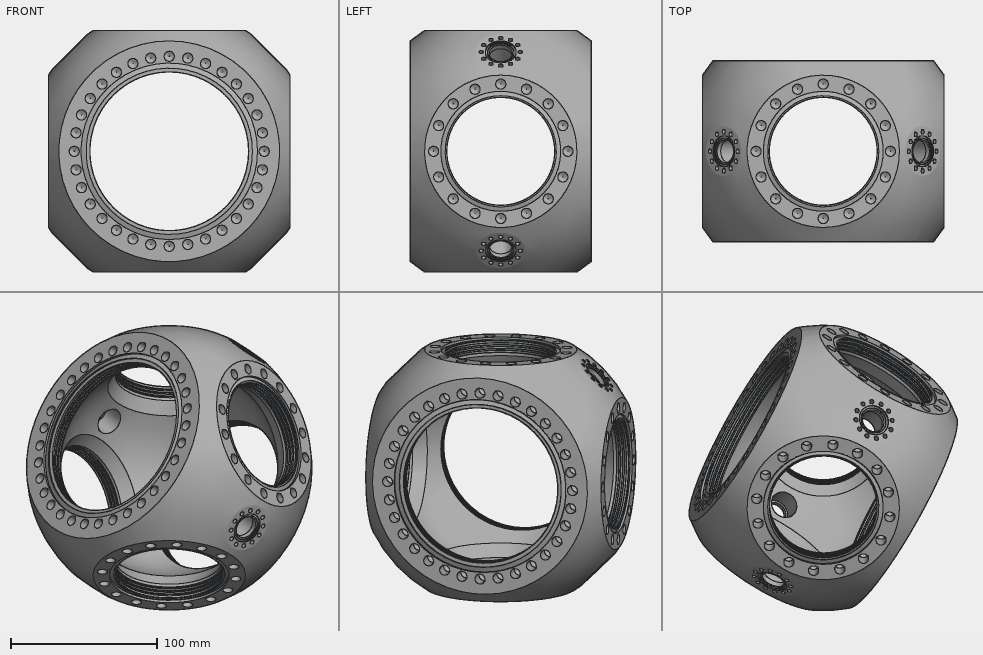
import cadquery as cq
import math


WIDTH = 165.4
THICKNESS = 124.0
OUTER_RADIUS = 97.8
CAVITY_RADIUS = 74.6
MINI_FACE_DISTANCE = 96.3

KNIFE_ANGLE = 20.0
RECESS_DEPTH = 1.8
LAND_DEPTH = 1.7

GROOVE_COUNT = 3
GROOVE_PITCH = 2.6
GROOVE_WIDTH = 1.5
GROOVE_DEPTH = 1.3
FIRST_GROOVE_DEPTH = 3.1

LARGE_RECESS_RADIUS = 60.4
LARGE_KNIFE_RADIUS = 56.9
LARGE_BORE_RADIUS = 54.3
LARGE_BORE_LENGTH = 12.4
LARGE_BOLT_CIRCLE_RADIUS = 65.0
LARGE_BOLT_COUNT = 32

MEDIUM_RECESS_RADIUS = 41.0
MEDIUM_KNIFE_RADIUS = 38.0
MEDIUM_BORE_RADIUS = 36.9
MEDIUM_BORE_LENGTH = 12.0
MEDIUM_FLARE_ANGLE = 30.0
MEDIUM_FLARE_WIDENING = 6.6
MEDIUM_BOLT_CIRCLE_RADIUS = 46.0
MEDIUM_BOLT_COUNT = 16

MINI_RECESS_RADIUS = 10.6
MINI_KNIFE_RADIUS = 9.1
MINI_RECESS_DEPTH = 1.0
MINI_LAND_DEPTH = 1.5
MINI_LIP_RADIUS = 8.0
MINI_LIP_END_DEPTH = 5.0
MINI_BORE_RADIUS = 9.3
MINI_BORE_LENGTH = 23.2
MINI_BOLT_CIRCLE_RADIUS = 13.4
MINI_BOLT_COUNT = 12

BOLT_RADIUS = 3.5
BOLT_DEPTH = 12.0
MINI_BOLT_RADIUS = 1.5
MINI_BOLT_DEPTH = 6.0
DRILL_POINT_ANGLE = 118.0
DRILL_TIP_RADIUS = 0.08

X_AXIS = (1, 0, 0)
Y_AXIS = (0, 1, 0)
Z_AXIS = (0, 0, 1)
CENTRE = (0, 0, 0)


def knife_edge_points(recess_radius, knife_radius, recess_depth, land_depth):
    """Radius and depth of the gasket recess, from the port face in to the ledge."""
    rise = (recess_radius - knife_radius) * math.tan(math.radians(KNIFE_ANGLE))
    return [
        (recess_radius, 0),
        (recess_radius, recess_depth),
        (knife_radius, recess_depth - rise),
        (knife_radius, land_depth),
    ]


def grooved_bore_points(bore_radius):
    """Radius and depth from the ledge past the last groove."""
    points = [(bore_radius, LAND_DEPTH)]
    for i in range(GROOVE_COUNT):
        start = FIRST_GROOVE_DEPTH + i * GROOVE_PITCH
        end = start + GROOVE_WIDTH
        points += [
            (bore_radius, start),
            (bore_radius + GROOVE_DEPTH, start),
            (bore_radius + GROOVE_DEPTH, end),
            (bore_radius, end),
        ]
    return points


def turned(face_distance, points):
    """Solid of revolution about Z from (radius, depth) points ending on the axis."""
    profile = [(0, face_distance)]
    profile += [(radius, face_distance - depth) for radius, depth in points]
    return cq.Workplane("XZ").polyline(profile).close().revolve(360, (0, 0), (0, 1)).val()


def bolt_holes(face_distance, circle_radius, count, radius, depth):
    """Ring of blind drilled holes sunk into a face on +Z."""
    point_length = (radius - DRILL_TIP_RADIUS) / math.tan(math.radians(DRILL_POINT_ANGLE / 2))
    tip_depth = depth + point_length
    hole = turned(face_distance, [(radius, 0), (radius, depth), (DRILL_TIP_RADIUS, tip_depth), (0, tip_depth)])
    hole = hole.moved(cq.Location(cq.Vector(circle_radius, 0, 0)))
    return [hole.rotate(CENTRE, Z_AXIS, i * 360 / count) for i in range(count)]


def large_port():
    """Knife edge, grooved bore and bolt holes of a large port."""
    face = THICKNESS / 2
    points = knife_edge_points(LARGE_RECESS_RADIUS, LARGE_KNIFE_RADIUS, RECESS_DEPTH, LAND_DEPTH)
    points += grooved_bore_points(LARGE_BORE_RADIUS)
    points += [(LARGE_BORE_RADIUS, LARGE_BORE_LENGTH), (0, LARGE_BORE_LENGTH)]
    holes = bolt_holes(face, LARGE_BOLT_CIRCLE_RADIUS, LARGE_BOLT_COUNT, BOLT_RADIUS, BOLT_DEPTH)
    return [turned(face, points)] + holes


def medium_port():
    """Knife edge, grooved bore, flare and bolt holes of a medium port."""
    face = WIDTH / 2
    flare_end_radius = MEDIUM_BORE_RADIUS + MEDIUM_FLARE_WIDENING
    flare_length = MEDIUM_FLARE_WIDENING / math.tan(math.radians(MEDIUM_FLARE_ANGLE))
    flare_end_depth = MEDIUM_BORE_LENGTH + flare_length
    points = knife_edge_points(MEDIUM_RECESS_RADIUS, MEDIUM_KNIFE_RADIUS, RECESS_DEPTH, LAND_DEPTH)
    points += grooved_bore_points(MEDIUM_BORE_RADIUS)
    points += [
        (MEDIUM_BORE_RADIUS, MEDIUM_BORE_LENGTH),
        (flare_end_radius, flare_end_depth),
        (0, flare_end_depth),
    ]
    holes = bolt_holes(face, MEDIUM_BOLT_CIRCLE_RADIUS, MEDIUM_BOLT_COUNT, BOLT_RADIUS, BOLT_DEPTH)
    return [turned(face, points)] + holes


def mini_port():
    """Knife edge, lip, bore and bolt holes of a mini port."""
    face = MINI_FACE_DISTANCE
    points = knife_edge_points(MINI_RECESS_RADIUS, MINI_KNIFE_RADIUS, MINI_RECESS_DEPTH, MINI_LAND_DEPTH)
    points += [
        (MINI_LIP_RADIUS, MINI_LAND_DEPTH),
        (MINI_LIP_RADIUS, MINI_LIP_END_DEPTH),
        (MINI_BORE_RADIUS, MINI_LIP_END_DEPTH),
        (MINI_BORE_RADIUS, MINI_BORE_LENGTH),
        (0, MINI_BORE_LENGTH),
    ]
    holes = bolt_holes(face, MINI_BOLT_CIRCLE_RADIUS, MINI_BOLT_COUNT, MINI_BOLT_RADIUS, MINI_BOLT_DEPTH)
    return [turned(face, points)] + holes


def around(cutters, axis, angles):
    """Copies of the cutters turned from +Z about the given axis."""
    return [cutter.rotate(CENTRE, axis, angle) for angle in angles for cutter in cutters]


diagonal_width = 2 * MINI_FACE_DISTANCE
trim_box = cq.Workplane("XY").box(WIDTH, THICKNESS, WIDTH)
diagonal_box = cq.Workplane("XY").box(diagonal_width, THICKNESS, diagonal_width).rotate(CENTRE, Y_AXIS, 45)
body = cq.Workplane("XY").sphere(OUTER_RADIUS).intersect(trim_box).intersect(diagonal_box)
body = body.cut(cq.Workplane("XY").sphere(CAVITY_RADIUS))

cutters = around(large_port(), X_AXIS, (90, -90))
cutters += around(medium_port(), Y_AXIS, (0, 90, 180, 270))
cutters += around(mini_port(), Y_AXIS, (45, 135, 225, 315))

result = cq.Workplane("XY").newObject([body.val().cut(*cutters)])